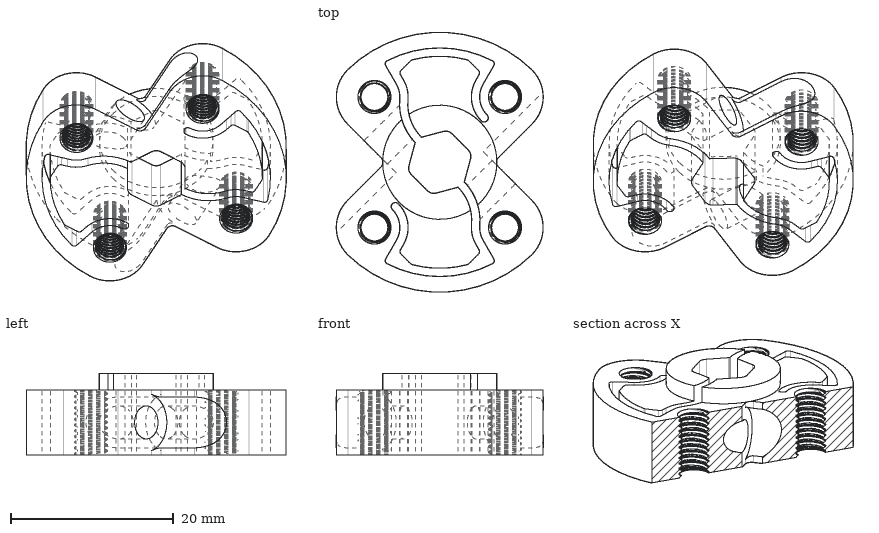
import cadquery as cq
import math

body_length = 31.88
body_height = 8.0
overall_height = 10.0
hub_diameter = 14.0
neck_fillet = 0.8
hex_across_flats = 7.05
hex_turn = 15.0
hex_fillet = 1.1

hole_offset = 8.0
lobe_radius = 4.7
thread_diameter = 4.05
thread_minor_diameter = 3.35
thread_pitch = 0.7
thread_crest_angle = 40.0
thread_flank_angle = 115.0

slot_width = 1.0
slot_hole_radius = 3.12
pocket_radius = 14.0
block_radius = pocket_radius - slot_width
block_bend_radius = 5.8
bend_direction = -5.0
bend_end_angle = 230.0
flank_angle = 60.0
slot_end_angle = 225.0
corner_fillet = 0.4

bore_diameter = 4.05
bore_clearance_diameter = 7.1
bore_axis_offset = 6.4
bore_depth = 6.6
bore_clearance_length = 15.95

neck_half_width = lobe_radius * math.sqrt(2)


def polar(center, radius, angle):
    """Point at an angle (degrees) on a circle."""
    turn = math.radians(angle)
    return (center[0] + radius * math.cos(turn), center[1] + radius * math.sin(turn))


def mirror_x(point):
    return (-point[0], point[1])


def arc(wire, center, radius, start_angle, end_angle):
    """Continue a wire along a circle, from its current point at start_angle."""
    middle_angle = (start_angle + end_angle) / 2
    return wire.threePointArc(polar(center, radius, middle_angle), polar(center, radius, end_angle))


def with_half_turn(shape):
    """The shape together with its copy turned 180 degrees about Z."""
    return shape.union(shape.rotate((0, 0, 0), (0, 0, 1), 180))


bend_center = polar(
    (-hole_offset, hole_offset),
    slot_hole_radius + slot_width + block_bend_radius,
    bend_direction,
)


def make_half_body():
    """Half of the body at +Y: two round lobes joined by a wide arc tangent to both."""
    top = body_length / 2
    reach = top - lobe_radius
    drop = (2 * hole_offset**2 - reach**2) / (2 * (reach - hole_offset))
    touch_angle = math.degrees(math.atan2(hole_offset + drop, hole_offset))
    right = (hole_offset, hole_offset)
    left = mirror_x(right)

    wire = cq.Workplane("XY").moveTo(neck_half_width, 0).lineTo(*polar(right, lobe_radius, -45))
    wire = arc(wire, right, lobe_radius, -45, touch_angle)
    wire = arc(wire, (0, -drop), top + drop, touch_angle, 180 - touch_angle)
    wire = arc(wire, left, lobe_radius, 180 - touch_angle, 225)
    return wire.lineTo(-neck_half_width, 0).close().extrude(body_height)


def make_slot():
    """Slot around the block at +Y, from a round end at +X to the hexagonal bore at -X."""
    right = (hole_offset, hole_offset)
    left = mirror_x(right)
    wall_radius = slot_hole_radius
    block_side_radius = slot_hole_radius + slot_width
    wall_bend_radius = block_bend_radius + slot_width
    bend_start = 180 + bend_direction
    tangent_angle = 90 + flank_angle
    slope = (math.cos(math.radians(flank_angle)), math.sin(math.radians(flank_angle)))

    wall_start = polar(right, wall_radius, tangent_angle)
    along = wall_start[0] * slope[0] + wall_start[1] * slope[1]
    excess = math.hypot(*wall_start) ** 2 - pocket_radius**2
    flank_length = math.sqrt(along**2 - excess) - along
    pocket_corner = (wall_start[0] + flank_length * slope[0], wall_start[1] + flank_length * slope[1])

    block_start = polar(right, block_side_radius, tangent_angle)
    tip_length = (2 * hole_offset - sum(block_start)) / sum(slope)
    block_tip = (block_start[0] + tip_length * slope[0], block_start[1] + tip_length * slope[1])
    shoulder_shift = math.sqrt(block_radius**2 / 2 - hole_offset**2)
    block_shoulder = (hole_offset - shoulder_shift, hole_offset + shoulder_shift)

    slot_middle_radius = wall_radius + slot_width / 2
    end_center = polar(right, slot_middle_radius, slot_end_angle)
    round_end = polar(end_center, slot_width / 2, slot_end_angle + 90)

    wire = cq.Workplane("XY").moveTo(*polar(right, block_side_radius, slot_end_angle))
    wire = wire.threePointArc(round_end, polar(right, wall_radius, slot_end_angle))
    wire = arc(wire, right, wall_radius, slot_end_angle, tangent_angle)
    wire = wire.lineTo(*pocket_corner)
    wire = wire.threePointArc((0, pocket_radius), mirror_x(pocket_corner))
    wire = wire.lineTo(*mirror_x(wall_start))
    wire = arc(wire, left, wall_radius, 180 - tangent_angle, bend_direction)
    wire = arc(wire, bend_center, wall_bend_radius, bend_start, bend_end_angle)
    wire = wire.lineTo(*polar(bend_center, block_bend_radius, bend_end_angle))
    wire = arc(wire, bend_center, block_bend_radius, bend_end_angle, bend_start)
    wire = arc(wire, left, block_side_radius, bend_direction, 180 - tangent_angle)
    wire = wire.lineTo(*mirror_x(block_tip)).lineTo(*mirror_x(block_shoulder))
    wire = wire.threePointArc((0, block_radius), block_shoulder)
    wire = wire.lineTo(*block_tip).lineTo(*block_start)
    wire = arc(wire, right, block_side_radius, tangent_angle, slot_end_angle)
    slot = wire.close().extrude(overall_height)

    for corner in (pocket_corner, block_tip, block_shoulder):
        for x, y in (corner, mirror_x(corner)):
            edge = cq.selectors.NearestToPointSelector((x, y, overall_height / 2))
            slot = slot.edges("|Z").edges(edge).fillet(corner_fillet)
    return slot


def make_hex_bore():
    across_corners = hex_across_flats / math.cos(math.radians(30))
    bore = cq.Workplane("XY").polygon(6, across_corners).extrude(overall_height)
    return bore.edges("|Z").fillet(hex_fillet).rotate((0, 0, 0), (0, 0, 1), hex_turn)


def make_thread_core():
    """Core of a threaded hole: its single-lobed cross-section twisted once per pitch."""
    major_radius = thread_diameter / 2
    minor_radius = thread_minor_diameter / 2
    flank_start = thread_crest_angle / 2
    flank_end = flank_start + thread_flank_angle

    flank_middle = flank_start + thread_flank_angle / 2
    middle_radius = (major_radius + minor_radius) / 2
    axis = (0, 0)

    section = cq.Workplane("XY").moveTo(*polar(axis, major_radius, -flank_start))
    section = arc(section, axis, major_radius, -flank_start, flank_start)
    section = section.threePointArc(
        polar(axis, middle_radius, flank_middle),
        polar(axis, minor_radius, flank_end),
    )
    section = arc(section, axis, minor_radius, flank_end, 360 - flank_end)
    section = section.threePointArc(
        polar(axis, middle_radius, -flank_middle),
        polar(axis, major_radius, -flank_start),
    )
    return section.close().twistExtrude(body_height, 360 * body_height / thread_pitch)


def cut_threaded_holes(body):
    """Cut a threaded hole, countersunk at both ends, at each corner of the hole square."""
    mouth_radius = thread_diameter / 2
    lower_cone = cq.Workplane(cq.Solid.makeCone(mouth_radius, 0, mouth_radius))
    upper_cone = lower_cone.mirror("XY").translate((0, 0, body_height))
    places = [
        cq.Location(cq.Vector(x, y, 0))
        for x in (-hole_offset, hole_offset)
        for y in (-hole_offset, hole_offset)
    ]

    for cutter in (lower_cone, upper_cone, make_thread_core()):
        copies = [cutter.val().moved(place) for place in places]
        body = body.cut(cq.Workplane(cq.Compound.makeCompound(copies)), clean=False)
    return body


def make_clamp_bore():
    """Screw bore into the -X, +Y lobe, with head clearance scooped from the lobe below it."""
    mouth = (
        -(bore_axis_offset + lobe_radius) / math.sqrt(2),
        (bore_axis_offset - lobe_radius) / math.sqrt(2),
        body_height / 2,
    )
    plane = cq.Plane(origin=mouth, xDir=(0, 0, 1), normal=(1, 1, 0))
    bore = cq.Workplane(plane).circle(bore_diameter / 2).extrude(bore_depth)
    kept_block = cq.Workplane("XY").center(*bend_center).circle(block_bend_radius + slot_width / 2)
    bore = bore.cut(kept_block.extrude(body_height))
    clearance = cq.Workplane(plane).circle(bore_clearance_diameter / 2).extrude(-bore_clearance_length)
    return bore.union(clearance)


body = with_half_turn(make_half_body())
for side in (-1, 1):
    neck_edge = cq.selectors.NearestToPointSelector((side * neck_half_width, 0, body_height / 2))
    body = body.edges("|Z").edges(neck_edge).fillet(neck_fillet)
hub = cq.Workplane("XY").circle(hub_diameter / 2).extrude(overall_height - body_height)

result = body.union(hub.translate((0, 0, body_height))).cut(make_hex_bore())
result = result.cut(with_half_turn(make_slot())).cut(with_half_turn(make_clamp_bore()))
result = cut_threaded_holes(result)